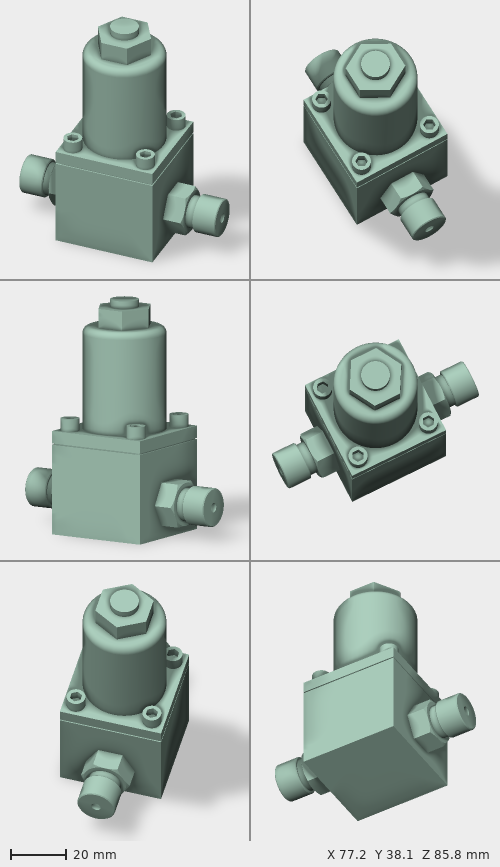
import cadquery as cq
import math

body_width = 38.1
block_height = 33.05
groove_height = 0.5
groove_depth = 0.5
plate_top = body_width
plate_bottom = block_height + groove_height

overall_height = 85.85
bonnet_diameter = 30.5
bonnet_top = 76.1
bonnet_fillet = 2.6
nut_top = 83.1
nut_across_flats = 19.15
nut_across_corners = 20.95
nut_flat_length = 10.1
stem_diameter = 10.5

screw_spacing = 28.6
screw_head_diameter = 6.9
screw_head_height = 4.55
socket_across_flats = 3.95
socket_depth = 3.4

overall_length = 77.2
fitting_axis_height = 12.7
fitting_hex_across_flats = 15.9
fitting_hex_length = 7.55
fitting_neck_diameter = 12.2
fitting_neck_length = 2.9
fitting_end_diameter = 14.25
fitting_end_chamfer = 0.35
fitting_bore_diameter = 3.5
hex_chamfer_angle = 30.0
fitting_length = (overall_length - body_width) / 2


def across_corners(across_flats):
    """Corner to corner size of a regular hexagon."""
    return across_flats / math.cos(math.radians(30))


def square_layer(width, bottom, top):
    return cq.Workplane("XY").workplane(offset=bottom).rect(width, width).extrude(top - bottom)


def round_layer(diameter, bottom, top):
    return cq.Workplane("XY").workplane(offset=bottom).circle(diameter / 2).extrude(top - bottom)


def make_block_and_plate():
    """Block and cover plate, parted by a shallow groove around all four sides."""
    block = square_layer(body_width, 0, block_height)
    groove_core = square_layer(body_width - 2 * groove_depth, block_height, plate_bottom)
    plate = square_layer(body_width, plate_bottom, plate_top)
    return block.union(groove_core).union(plate)


def make_bonnet():
    """Round-shouldered cylinder with a slightly narrowed hexagon and a stem on top."""
    bonnet = round_layer(bonnet_diameter, plate_top, bonnet_top).faces(">Z").edges().fillet(bonnet_fillet)
    corner_x = nut_across_corners / 2
    flat_x = nut_flat_length / 2
    flat_y = nut_across_flats / 2
    nut_outline = [
        (corner_x, 0),
        (flat_x, flat_y),
        (-flat_x, flat_y),
        (-corner_x, 0),
        (-flat_x, -flat_y),
        (flat_x, -flat_y),
    ]
    nut = (
        cq.Workplane("XY")
        .workplane(offset=bonnet_top)
        .polyline(nut_outline)
        .close()
        .extrude(nut_top - bonnet_top)
    )
    stem = round_layer(stem_diameter, nut_top, overall_height)
    return bonnet.union(nut).union(stem)


def make_screw_head():
    """Cylindrical head with a hexagon socket, centred on the Z axis at plate height."""
    head_top = plate_top + screw_head_height
    head = round_layer(screw_head_diameter, plate_top, head_top)
    socket = (
        cq.Workplane("XY")
        .workplane(offset=head_top)
        .polygon(6, across_corners(socket_across_flats))
        .extrude(-socket_depth)
    )
    return head.cut(socket)


def make_valve_body():
    valve_body = make_block_and_plate().union(make_bonnet())
    screw_head = make_screw_head()
    for x_side in (-1, 1):
        for y_side in (-1, 1):
            place = (x_side * screw_spacing / 2, y_side * screw_spacing / 2, 0)
            valve_body = valve_body.union(screw_head.translate(place))
    return valve_body


def make_fitting():
    """Fitting on the Z axis, its hexagon starting at the origin and its open end upwards."""
    hex_corners = across_corners(fitting_hex_across_flats)
    hexagon = cq.Workplane("XY").polygon(6, hex_corners).extrude(fitting_hex_length)

    corner_radius = hex_corners / 2
    face_radius = fitting_hex_across_flats / 2
    chamfer_height = (corner_radius - face_radius) * math.tan(math.radians(hex_chamfer_angle))
    turned_envelope = (
        cq.Workplane("XZ")
        .polyline([
            (0, 0),
            (corner_radius, 0),
            (corner_radius, fitting_hex_length - chamfer_height),
            (face_radius, fitting_hex_length),
            (0, fitting_hex_length),
        ])
        .close()
        .revolve(360, (0, 0, 0), (0, 1, 0))
    )
    hexagon = hexagon.intersect(turned_envelope)

    neck_top = fitting_hex_length + fitting_neck_length
    neck = round_layer(fitting_neck_diameter, fitting_hex_length, neck_top)
    end = round_layer(fitting_end_diameter, neck_top, fitting_length)
    end = end.faces("<Z or >Z").edges().chamfer(fitting_end_chamfer)
    bore = round_layer(fitting_bore_diameter, 0, fitting_length)
    return hexagon.union(neck).union(end).cut(bore)


def make_placed_fittings():
    """One fitting seated on each of the -X and +X faces, with hexagon corners along Y."""
    upright = make_fitting().rotate((0, 0, 0), (0, 0, 1), 90)
    fittings = []
    for side in (-1, 1):
        lying = upright.rotate((0, 0, 0), (0, 1, 0), side * 90)
        fittings.append(lying.translate((side * body_width / 2, 0, fitting_axis_height)))
    return fittings


valve_body = make_valve_body()
fittings = make_placed_fittings()

result = cq.Compound.makeCompound([valve_body.val(), *[fitting.val() for fitting in fittings]])